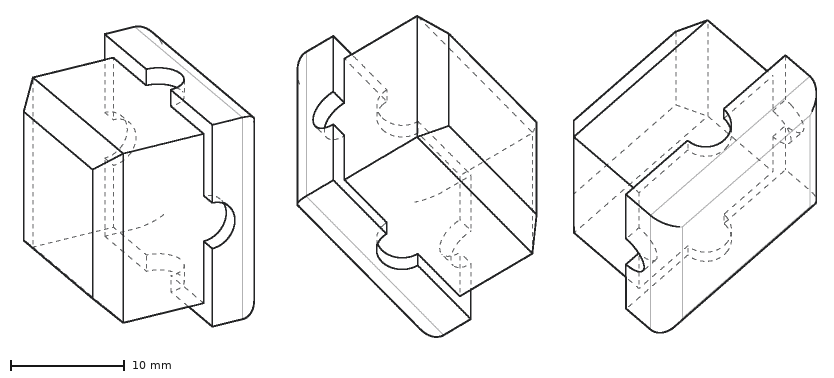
import cadquery as cq

cap_side = 19.9
cap_thickness = 5.0
cap_edge_radius = 1.99
plug_side = 16.7
plug_length = 10.0
plug_chamfer = 1.99
notch_radius = 2.25

cap_overhang = (cap_side - plug_side) / 2


def make_cap():
    """Square cap with its outer face edges rounded."""
    cap = cq.Workplane("XY").box(cap_side, cap_thickness, cap_side, centered=(True, False, True))
    return cap.faces(">Y").edges().fillet(cap_edge_radius)


def make_plug():
    """Square insert with a chamfered lead-in at its free end."""
    plug = cq.Workplane("XY").box(plug_side, plug_length, plug_side, centered=(True, False, True))
    plug = plug.translate((0, -plug_length, 0))
    return plug.faces("<Y").edges().chamfer(plug_chamfer)


def make_notch(angle):
    """Round notch cutter through the overhang on one side, turned about the Y axis."""
    notch = (
        cq.Workplane("XY")
        .workplane(offset=plug_side / 2)
        .circle(notch_radius)
        .extrude(cap_overhang)
    )
    return notch.rotate((0, 0, 0), (0, 1, 0), angle)


cap = make_cap()
for angle in (0, 90, 180, 270):
    cap = cap.cut(make_notch(angle))

result = cap.union(make_plug())